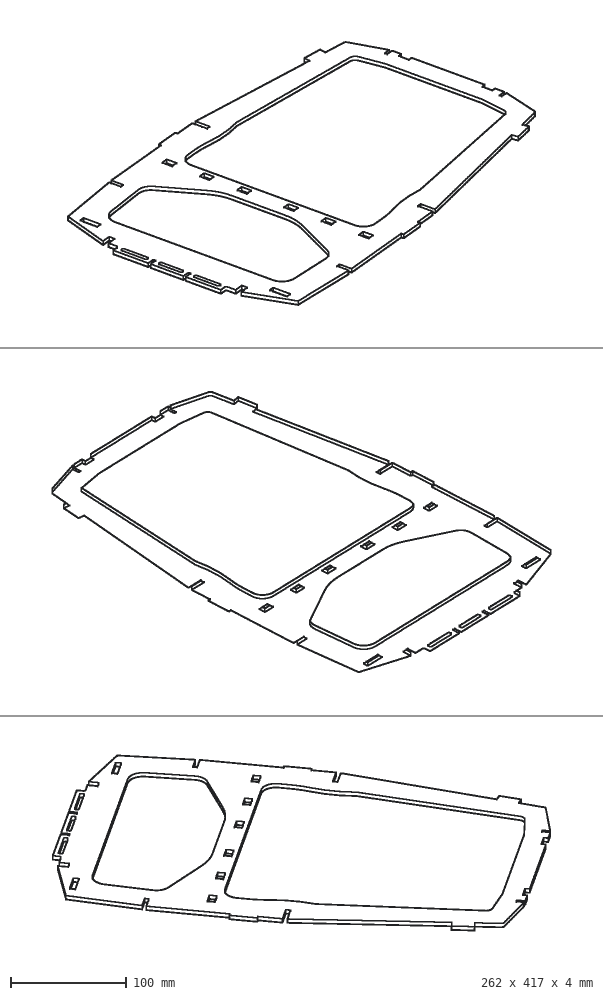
import cadquery as cq

thickness = 4.0
length = 417.0
top_y = length / 2
bottom_y = -length / 2

body_half_width = 128.5
shoulder_point = (101.7, 197.0)
shoulder_radius = 2.5
roof_end = (62.5, 208.0)
side_break = (128.0, 11.3)
lower_side_break = (128.0, -116.8)
heel_point = (123.0, -184.7)
sill_y = -201.0
sill_end_x = 74.0

side_tab_x = 131.0
side_tab_top = -14.5
side_tab_bottom = -39.0
leaning_tab = [(102.0, 172.0), (111.8, 173.5), (114.3, 153.5), (104.2, 152.0)]
bottom_tab_half_width = 57.5
bottom_tab_fillet = 1.5

roof_slot_x = (60.0, roof_end[0])
roof_slot_floor = 201.0
roof_notch_x = (39.0, 50.0)
upper_side_slot_inner_x = 112.5
upper_side_slot_y = (7.0, side_break[1])
lower_side_slot_inner_x = 115.5
lower_side_slot_y = (lower_side_break[1], -113.0)
roof_notch_depth = thickness
sill_slot_x = (68.0, sill_end_x)
sill_slot_top = -192.0
tab_notch_x = (17.5, 20.0)

small_hole_size = (10.5, 6.5)
small_hole_first_x = 25.0
small_hole_pitch = 40.0
small_hole_count = 3
small_hole_y = -59.2
heel_hole_size = (18.5, 5.0)
heel_hole_centre = (101.5, -181.5)
tab_hole_height = 3.8
tab_hole_y = -202.5
tab_hole_radius = 1.3
middle_hole_width = 25.0
outer_hole_width = 27.5
outer_hole_x = 38.8

upper_top_y = 187.0
upper_bottom_y = -51.3
upper_flat_x = 51.5
upper_corner = (82.0, 182.2)
upper_corner_radius = 6.0
upper_kink = (98.0, 31.0)
bulge_middle = (96.5, 10.0)
bulge_end = (98.5, -10.5)
upper_side = (100.0, -28.8)
window_radius = 13.0

lower_top_y = -73.0
lower_bottom_y = -168.5
lower_peak_x = 40.5
lower_peak_radius = 48.0
lower_upper_corner = (100.5, -104.0)
lower_bottom_x = 97.0
lower_bottom_radius = 13.8


def extrude(profile):
    return profile.extrude(thickness)


def box(x_range, y_range):
    """Full-thickness block spanning the given X and Y ranges."""
    return (
        cq.Workplane("XY")
        .box(x_range[1] - x_range[0], y_range[1] - y_range[0], thickness, centered=False)
        .translate((x_range[0], y_range[0], 0))
    )


def hole(size, centre):
    return extrude(cq.Workplane("XY").center(*centre).rect(*size))


def fillet_at(solid, point, radius):
    """Round the upright edge standing at the given XY point."""
    nearest = cq.selectors.NearestToPointSelector((point[0], point[1], thickness / 2))
    return solid.edges("|Z").edges(nearest).fillet(radius)


def half_body():
    outline = [
        (0, top_y), (roof_slot_x[0], top_y), roof_end, shoulder_point, side_break,
        (body_half_width, upper_side_slot_y[0]), (body_half_width, lower_side_slot_y[1]),
        lower_side_break, heel_point, (sill_end_x, sill_y),
        (bottom_tab_half_width, sill_y), (bottom_tab_half_width, bottom_y), (0, bottom_y),
    ]
    body = extrude(cq.Workplane("XY").polyline(outline).close())
    body = fillet_at(body, shoulder_point, shoulder_radius)
    body = fillet_at(body, (bottom_tab_half_width, sill_y), bottom_tab_fillet)
    body = body.union(box((body_half_width, side_tab_x), (side_tab_bottom, side_tab_top)))
    return body.union(extrude(cq.Workplane("XY").polyline(leaning_tab).close()))


def half_edge_cuts():
    cuts = box(roof_slot_x, (roof_slot_floor, top_y))
    cuts = cuts.union(box(roof_notch_x, (top_y - roof_notch_depth, top_y)))
    cuts = cuts.union(box((upper_side_slot_inner_x, side_tab_x), upper_side_slot_y))
    cuts = cuts.union(box((lower_side_slot_inner_x, side_tab_x), lower_side_slot_y))
    cuts = cuts.union(box(sill_slot_x, (bottom_y, sill_slot_top)))
    return cuts.union(box(tab_notch_x, (bottom_y, sill_y)))


def half_holes():
    holes = hole(heel_hole_size, heel_hole_centre)
    for index in range(small_hole_count):
        centre = (small_hole_first_x + index * small_hole_pitch, small_hole_y)
        holes = holes.union(hole(small_hole_size, centre))
    outer_hole = hole((outer_hole_width, tab_hole_height), (outer_hole_x, tab_hole_y))
    return holes.union(outer_hole.edges("|Z").fillet(tab_hole_radius))


def middle_hole():
    return hole((middle_hole_width, tab_hole_height), (0, tab_hole_y)).edges("|Z").fillet(tab_hole_radius)


def half_upper_window():
    window = extrude(
        cq.Workplane("XY")
        .moveTo(0, upper_top_y)
        .lineTo(upper_flat_x, upper_top_y)
        .lineTo(*upper_corner)
        .lineTo(*upper_kink)
        .threePointArc(bulge_middle, bulge_end)
        .tangentArcPoint(upper_side, relative=False)
        .lineTo(upper_side[0], upper_bottom_y)
        .lineTo(0, upper_bottom_y)
        .close()
    )
    window = fillet_at(window, upper_corner, upper_corner_radius)
    return fillet_at(window, (upper_side[0], upper_bottom_y), window_radius)


def half_lower_window():
    peak = (lower_peak_x, lower_top_y)
    bottom_corner = (lower_bottom_x, lower_bottom_y)
    outline = [(0, lower_top_y), peak, lower_upper_corner, bottom_corner, (0, lower_bottom_y)]
    window = extrude(cq.Workplane("XY").polyline(outline).close())
    window = fillet_at(window, peak, lower_peak_radius)
    window = fillet_at(window, lower_upper_corner, window_radius)
    return fillet_at(window, bottom_corner, lower_bottom_radius)


half = half_body()
for cutter in (half_edge_cuts(), half_holes(), half_upper_window(), half_lower_window()):
    half = half.cut(cutter)

result = half.union(half.mirror("YZ")).cut(middle_hole())